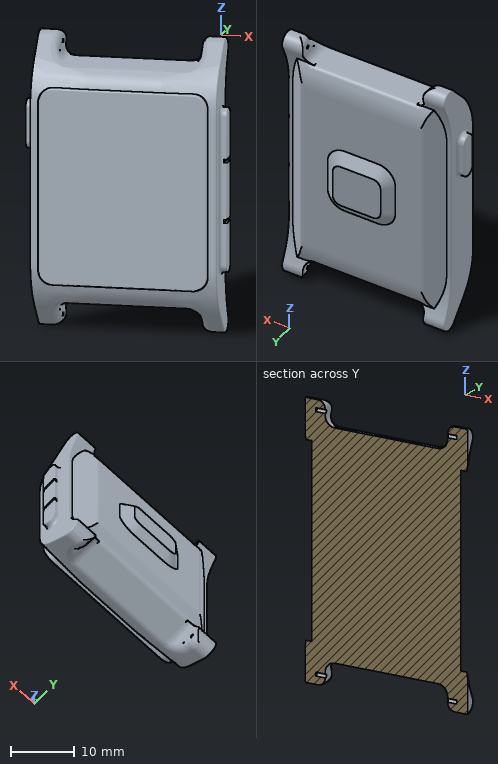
import cadquery as cq
import math

LENGTH = 47.65
CASE_WIDTH = 30.2
FRONT_Y = -5.05
SIDE_BACK_Y = 1.7

TIP_RADIUS = 1.75
TIP_Y = 2.05
TIP_FLAT = 0.25
TIP_Z = LENGTH / 2 - TIP_RADIUS
SIDE_BEND_RADIUS = 11.9
CROWN_BEND_RADIUS = 4.75
CROWN_HALF_WIDTH = 6.1
FRONT_SLOPE = math.radians(41.8)
BACK_BEND_Z = 13.35
BACK_SLOPE = math.radians(25.0)
CASE_EDGE_FILLET = 0.25

SHELL_BACK_Y = 4.2
SHELL_BASE_HALF_WIDTH = 14.3
SHELL_WALL_RUN = 3.05
SHELL_STEP_FILLET = 1.15
SHELL_ROOT_Y = 0.0
SHELL_BEND_Z = 15.7
SHELL_END_RADIUS = 7.6
SHELL_END_Z = 20.95

BLOCK_BACK_Y = 4.05
NOTCH_WIDTH = 22.3
NOTCH_FLOOR_Z = 19.8
NOTCH_CORNER_RADIUS = 1.55
NOTCH_EDGE_FILLET = 1.45
NOTCH_DRAFT_ANGLE = 4.0
NOTCH_NARROW_Y = 4.3
NOTCH_DEPTH = NOTCH_NARROW_Y - FRONT_Y
NOTCH_SPREAD = NOTCH_DEPTH * math.tan(math.radians(NOTCH_DRAFT_ANGLE))
SHELL_END_FILLET = 0.95

PIN_HOLE_DIAMETER = 0.55
PIN_HOLE_Y = 2.05
PIN_HOLE_Z = 22.05
PIN_HOLE_DEPTH = 1.9

GLASS_WIDTH = 27.45
GLASS_LENGTH = 31.75
GLASS_CORNER_RADIUS = 2.4
GLASS_FRONT_Y = -5.645
GLASS_DEPTH = 1.9
GLASS_EDGE_FILLET = 0.3

BUMP_BACK_Y = 5.645
BUMP_TOP_WIDTH = 8.85
BUMP_TOP_LENGTH = 7.7
BUMP_BASE_WIDTH = 12.6
BUMP_BASE_LENGTH = 11.9
BUMP_TOP_CORNER = 1.45
BUMP_BASE_CORNER = 3.25

BUTTON_OUTER_X = 16.315
BUTTON_Y = -1.52
BUTTON_WIDTH = 2.65
BUTTON_EDGE_FILLET = 0.15
BUTTON_ROOT_FILLET = 0.6
LEFT_BUTTON_Z = 9.3
LEFT_BUTTON_LENGTH = 8.0
RIGHT_BAR_LENGTH = 26.6
RIGHT_GAP_Z = 4.85
RIGHT_GAP_WIDTH = 0.52
RIGHT_GAP_DEPTH = 0.52

OVERLAP = 0.5
PICK_MARGIN = 0.05


def arc_point(center, radius, angle):
    return (center[0] + radius * math.cos(angle), center[1] + radius * math.sin(angle))


def low(point):
    """The same point at the -Z end."""
    return (point[0], -point[1])


def tangent_bend(crossing, radius, turn):
    """Start, middle and end of an arc that turns from straight up Z towards +Y at a line crossing."""
    start_z = crossing[1] - radius * math.tan(turn / 2)
    center = (crossing[0] + radius, start_z)
    middle = arc_point(center, radius, math.pi - turn / 2)
    end = arc_point(center, radius, math.pi - turn)
    return (crossing[0], start_z), middle, end


def front_outline(x, bend_radius):
    """Closed block outline at one X: flat front, a bend and a slope to each end, square back."""
    tip_front = arc_point((TIP_Y, TIP_Z), TIP_RADIUS, math.pi - FRONT_SLOPE)
    tip_middle = arc_point((TIP_Y, TIP_Z), TIP_RADIUS, (math.pi - FRONT_SLOPE + math.pi / 2) / 2)
    tip_top = (TIP_Y, LENGTH / 2)
    back_corner = (BLOCK_BACK_Y, LENGTH / 2)
    crossing_z = tip_front[1] - (tip_front[0] - FRONT_Y) / math.tan(FRONT_SLOPE)
    start, middle, end = tangent_bend((FRONT_Y, crossing_z), bend_radius, FRONT_SLOPE)
    return (
        cq.Workplane("YZ", origin=(x, 0, 0))
        .moveTo(*low(start))
        .lineTo(*start)
        .threePointArc(middle, end)
        .lineTo(*tip_front)
        .threePointArc(tip_middle, tip_top)
        .lineTo(*back_corner)
        .lineTo(*low(back_corner))
        .lineTo(*low(tip_top))
        .threePointArc(low(tip_middle), low(tip_front))
        .lineTo(*low(end))
        .threePointArc(low(middle), low(start))
        .close()
        .val()
    )


def front_block():
    """Square-backed block whose front bends are tighter in the middle than at the sides."""
    sections = [
        front_outline(-CASE_WIDTH / 2, SIDE_BEND_RADIUS),
        front_outline(-CROWN_HALF_WIDTH, CROWN_BEND_RADIUS),
        front_outline(CROWN_HALF_WIDTH, CROWN_BEND_RADIUS),
        front_outline(CASE_WIDTH / 2, SIDE_BEND_RADIUS),
    ]
    return cq.Workplane(cq.Solid.makeLoft(sections, True))


def back_envelope():
    """Everything in front of the hollow lug backs, ending in the round lug tips."""
    tip_back = arc_point((TIP_Y, TIP_Z), TIP_RADIUS, -BACK_SLOPE)
    tip_middle = arc_point((TIP_Y, TIP_Z), TIP_RADIUS, (math.pi / 2 - BACK_SLOPE) / 2)
    tip_top = (TIP_Y + TIP_FLAT, LENGTH / 2)
    back_corner = (TIP_Y + TIP_FLAT, LENGTH / 2 + OVERLAP)
    front_corner = (FRONT_Y - OVERLAP, LENGTH / 2 + OVERLAP)
    crossing_z = tip_back[1] - (tip_back[0] - SIDE_BACK_Y) / math.tan(BACK_SLOPE)
    radius = (crossing_z - BACK_BEND_Z) / math.tan(BACK_SLOPE / 2)
    start, middle, end = tangent_bend((SIDE_BACK_Y, crossing_z), radius, BACK_SLOPE)
    return (
        cq.Workplane("YZ")
        .moveTo(*low(front_corner))
        .lineTo(*front_corner)
        .lineTo(*back_corner)
        .lineTo(*tip_top)
        .threePointArc(tip_middle, tip_back)
        .lineTo(*end)
        .threePointArc(middle, start)
        .lineTo(*low(start))
        .threePointArc(low(middle), low(end))
        .lineTo(*low(tip_back))
        .threePointArc(low(tip_middle), low(tip_top))
        .lineTo(*low(back_corner))
        .close()
        .extrude(CASE_WIDTH, both=True)
    )


def back_shell():
    """Raised back with sloping side walls that curves down towards both strap notches."""
    slab = CASE_WIDTH / 2 - OVERLAP
    top = SHELL_BASE_HALF_WIDTH - SHELL_WALL_RUN
    section = [
        (-slab, SHELL_ROOT_Y),
        (slab, SHELL_ROOT_Y),
        (slab, SIDE_BACK_Y),
        (SHELL_BASE_HALF_WIDTH, SIDE_BACK_Y),
        (top, SHELL_BACK_Y),
        (-top, SHELL_BACK_Y),
        (-SHELL_BASE_HALF_WIDTH, SIDE_BACK_Y),
        (-slab, SIDE_BACK_Y),
    ]
    shell = cq.Workplane("XY").polyline(section).close().extrude(SHELL_END_Z, both=True)
    shell = shell.edges(
        cq.selectors.BoxSelector(
            (-slab + OVERLAP, SIDE_BACK_Y - OVERLAP, -LENGTH),
            (slab - OVERLAP, SHELL_BACK_Y + OVERLAP, LENGTH),
        )
    ).edges("|Z").fillet(SHELL_STEP_FILLET)

    end_angle = math.asin((SHELL_END_Z - SHELL_BEND_Z) / SHELL_END_RADIUS)
    center = (SHELL_BACK_Y - SHELL_END_RADIUS, SHELL_BEND_Z)
    mid = arc_point(center, SHELL_END_RADIUS, end_angle / 2)
    end = arc_point(center, SHELL_END_RADIUS, end_angle)
    side = (
        cq.Workplane("YZ")
        .moveTo(SHELL_ROOT_Y, -SHELL_END_Z)
        .lineTo(end[0], -end[1])
        .threePointArc((mid[0], -mid[1]), (SHELL_BACK_Y, -SHELL_BEND_Z))
        .lineTo(SHELL_BACK_Y, SHELL_BEND_Z)
        .threePointArc(mid, end)
        .lineTo(SHELL_ROOT_Y, SHELL_END_Z)
        .close()
        .extrude(CASE_WIDTH, both=True)
    )
    return shell.intersect(side)


def strap_notch(side):
    """Drafted round-cornered cut between two lugs, widening towards the front."""
    height = LENGTH / 2
    outline = cq.Sketch().rect(NOTCH_WIDTH, height).vertices().fillet(NOTCH_CORNER_RADIUS)
    return (
        cq.Workplane("XZ", origin=(0, NOTCH_NARROW_Y, side * (NOTCH_FLOOR_Z + height / 2)))
        .placeSketch(outline)
        .extrude(NOTCH_DEPTH, taper=-NOTCH_DRAFT_ANGLE)
    )


def cut_notch(body, side, rim_front_y, rim_back_y, rim_fillet):
    """Cut the strap notch at one end and round the part of its rim between two Y positions."""
    widest = NOTCH_WIDTH / 2 + NOTCH_SPREAD
    lowest = NOTCH_FLOOR_Z - NOTCH_SPREAD
    low_z, high_z = sorted((side * lowest, side * LENGTH))
    rim_box = cq.selectors.BoxSelector((-widest, rim_front_y, low_z), (widest, rim_back_y, high_z))
    return body.cut(strap_notch(side)).edges(rim_box).fillet(rim_fillet)


def shell_seat(side):
    """Clearance behind the notch floor, filled by the rounded end of the back shell."""
    width = NOTCH_WIDTH - 2 * NOTCH_CORNER_RADIUS
    height = SHELL_END_Z - SHELL_BEND_Z
    middle_z = side * (SHELL_BEND_Z + height / 2)
    return cq.Workplane("XY").box(width, 2 * SIDE_BACK_Y, height).translate((0, 2 * SIDE_BACK_Y, middle_z))


def pin_holes():
    """Blind holes in the facing inner sides of the lugs."""
    span = NOTCH_WIDTH + 2 * PIN_HOLE_DEPTH
    return (
        cq.Workplane("YZ", origin=(-span / 2, 0, 0))
        .pushPoints([(PIN_HOLE_Y, PIN_HOLE_Z), (PIN_HOLE_Y, -PIN_HOLE_Z)])
        .circle(PIN_HOLE_DIAMETER / 2)
        .extrude(span)
    )


def screen_glass():
    return (
        cq.Workplane("XZ", origin=(0, GLASS_FRONT_Y, 0))
        .rect(GLASS_WIDTH, GLASS_LENGTH)
        .extrude(-GLASS_DEPTH)
        .edges("|Y")
        .fillet(GLASS_CORNER_RADIUS)
        .faces("<Y")
        .edges()
        .fillet(GLASS_EDGE_FILLET)
    )


def sensor_bump():
    """Rounded block on the back that narrows away from the case."""
    base = cq.Sketch().rect(BUMP_BASE_WIDTH, BUMP_BASE_LENGTH).vertices().fillet(BUMP_BASE_CORNER)
    top = cq.Sketch().rect(BUMP_TOP_WIDTH, BUMP_TOP_LENGTH).vertices().fillet(BUMP_TOP_CORNER)
    height = BUMP_BACK_Y - SHELL_BACK_Y
    taper = (
        cq.Workplane("XZ", origin=(0, SHELL_BACK_Y, 0))
        .placeSketch(base, top.moved(cq.Location(cq.Vector(0, 0, -height))))
        .loft()
    )
    root = cq.Workplane("XZ", origin=(0, SHELL_BACK_Y, 0)).placeSketch(base).extrude(OVERLAP)
    return taper.union(root)


def side_button(side, z, length):
    """Slot-shaped button with a rounded outer edge, standing on one side of the case."""
    inner_x = CASE_WIDTH / 2 - OVERLAP
    return (
        cq.Workplane("YZ", origin=(side * inner_x, BUTTON_Y, z))
        .slot2D(length, BUTTON_WIDTH, 90)
        .extrude(side * (BUTTON_OUTER_X - inner_x))
        .faces(">X" if side > 0 else "<X")
        .edges()
        .fillet(BUTTON_EDGE_FILLET)
    )


def round_button_root(body, side, z, length):
    """Blend the foot of a side button into the flat side of the case."""
    x = side * CASE_WIDTH / 2
    foot_box = cq.selectors.BoxSelector(
        (x - PICK_MARGIN, BUTTON_Y - BUTTON_WIDTH, z - length / 2 - PICK_MARGIN),
        (x + PICK_MARGIN, BUTTON_Y + BUTTON_WIDTH / 2 + PICK_MARGIN, z + length / 2 + PICK_MARGIN),
    )
    return body.edges(foot_box).fillet(BUTTON_ROOT_FILLET)


def button_gaps():
    """Two grooves that split the right bar into three buttons."""
    return (
        cq.Workplane("YZ", origin=(BUTTON_OUTER_X - RIGHT_GAP_DEPTH, BUTTON_Y, 0))
        .pushPoints([(0, RIGHT_GAP_Z), (0, -RIGHT_GAP_Z)])
        .rect(2 * BUTTON_WIDTH, RIGHT_GAP_WIDTH)
        .extrude(RIGHT_GAP_DEPTH)
    )


plate = front_block()
shell = back_shell()
for side in (1, -1):
    plate = cut_notch(plate, side, FRONT_Y, BLOCK_BACK_Y - PICK_MARGIN, NOTCH_EDGE_FILLET)
    shell = cut_notch(shell, side, SIDE_BACK_Y, SHELL_BACK_Y, SHELL_END_FILLET)
plate = plate.intersect(back_envelope())
plate = plate.faces("<X or >X").edges().fillet(CASE_EDGE_FILLET)
for side in (1, -1):
    plate = plate.cut(shell_seat(side))
case = plate.union(shell).cut(pin_holes())
case = case.union(screen_glass()).union(sensor_bump())
for button in ((-1, LEFT_BUTTON_Z, LEFT_BUTTON_LENGTH), (1, 0, RIGHT_BAR_LENGTH)):
    case = case.union(side_button(*button))
    case = round_button_root(case, *button)
result = case.cut(button_gaps())